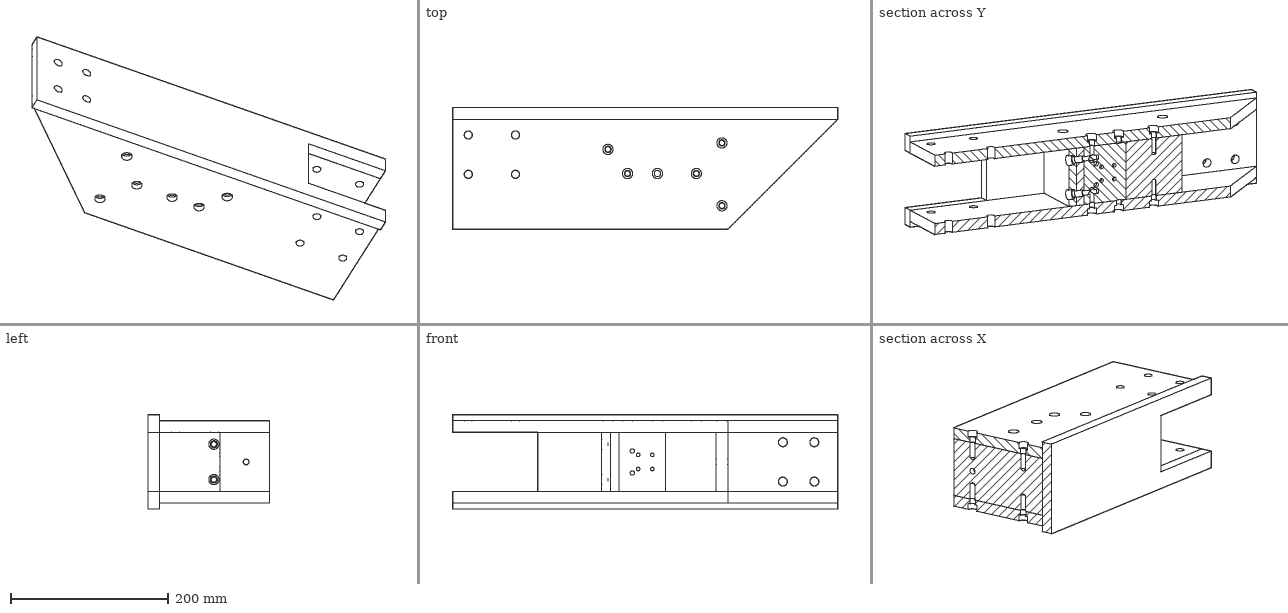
import cadquery as cq
import math

plate_thickness = 15.0
total_length = 490.0
side_depth = 140.0
inner_height = 75.0
back_height = 120.0

half_inner = inner_height / 2
side_front_length = total_length - side_depth
back_y = side_depth + plate_thickness

slot_length = 108.0
back_hole_diameter = 11.0
back_hole_xs = (420.0, 460.0)
back_hole_z = 25.0

mount_hole_diameter = 10.0
mount_hole_xs = (20.0, 80.0)
mount_hole_ys = (70.0, 120.0)

screw_head_diameter = 13.0
screw_head_depth = 8.0
side_clearance_diameter = 8.0
cross_clearance_diameter = 9.0
thread_diameter = 6.8
thread_depth = 20.0
drill_point_angle = 118.0

inner_front_y = 63.5
bar_back_y = inner_front_y + plate_thickness
bar_middle_y = (inner_front_y + bar_back_y) / 2
cross_plate_x = 189.5
spacer_x = 201.0
mount_bar_x = 211.5
stop_x = 271.0
end_plate_x = side_front_length - plate_thickness

end_plate_middle_x = end_plate_x + plate_thickness / 2
end_screw_margin = 30.0
stop_screw_setback = 25.0
cross_screw_points = [(197.5, (inner_front_y + side_depth) / 2)]
mount_bar_screw_points = [(222.5, bar_middle_y)]
spare_screw_points = [(260.5, bar_middle_y)]
end_screw_points = [
    (end_plate_x - stop_screw_setback, bar_middle_y),
    (end_plate_middle_x, end_screw_margin),
    (end_plate_middle_x, side_depth - end_screw_margin),
]
side_screw_points = (
    cross_screw_points + mount_bar_screw_points + spare_screw_points + end_screw_points
)

row_screw_z = 22.5
row_screw_points = [(bar_middle_y, -row_screw_z), (bar_middle_y, row_screw_z)]

pattern_center_x = 245.0
pattern_pitch = 18.0
pattern_hole_diameter = 4.5
locating_hole_x = 228.5
locating_hole_z = 14.0
locating_hole_diameter = 5.5
front_hole_depth = 10.0

end_hole_diameter = 7.0
end_hole_y = 30.0


def block(x_start, x_end, y_start, y_end, height):
    """Box centred on the mid-plane Z = 0."""
    return (
        cq.Workplane("XY", origin=(x_start, y_start, -height / 2))
        .box(x_end - x_start, y_end - y_start, height, centered=False)
    )


def holes_along_x(points, diameter, x_start, length):
    """Cylinders along +X at (y, z) points."""
    return (
        cq.Workplane("YZ", origin=(x_start, 0, 0))
        .pushPoints(points)
        .circle(diameter / 2)
        .extrude(length)
    )


def holes_along_y(points, diameter, y_start, length):
    """Cylinders along +Y at (x, z) points."""
    return (
        cq.Workplane("XZ", origin=(0, y_start, 0))
        .pushPoints(points)
        .circle(diameter / 2)
        .extrude(-length)
    )


def cut_side_threads(body, points):
    """Drill blind thread holes with conical ends into the top and bottom of a body."""
    radius = thread_diameter / 2
    cone_z = half_inner - thread_depth
    tip_z = cone_z - radius / math.tan(math.radians(drill_point_angle / 2))
    drill = (
        cq.Workplane("XZ")
        .polyline([(0, half_inner), (radius, half_inner), (radius, cone_z), (0, tip_z)])
        .close()
        .revolve(360, (0, 0, 0), (0, 1, 0))
    )
    for x, y in points:
        top_drill = drill.translate((x, y, 0))
        body = body.cut(top_drill).cut(top_drill.mirror("XY"))
    return body


def make_back_plate():
    plate = block(0, total_length, side_depth, back_y, back_height)
    slot = block(0, slot_length, side_depth, back_y, inner_height)
    hole_points = [(x, z) for x in back_hole_xs for z in (-back_hole_z, back_hole_z)]
    holes = holes_along_y(hole_points, back_hole_diameter, side_depth, plate_thickness)
    return plate.cut(slot).cut(holes)


def make_side_plate(top):
    outline = [(0, 0), (side_front_length, 0), (total_length, side_depth), (0, side_depth)]
    plate = (
        cq.Workplane("XY", origin=(0, 0, half_inner))
        .polyline(outline)
        .close()
        .extrude(plate_thickness)
    )
    outer_face = plate.faces(">Z").workplane(origin=(0, 0, 0))
    plate = outer_face.pushPoints(
        [(x, y) for x in mount_hole_xs for y in mount_hole_ys]
    ).hole(mount_hole_diameter)
    outer_face = plate.faces(">Z").workplane(origin=(0, 0, 0))
    plate = outer_face.pushPoints(side_screw_points).cboreHole(
        side_clearance_diameter, screw_head_diameter, screw_head_depth
    )
    return plate if top else plate.mirror("XY")


def make_cross_plate():
    plate = block(cross_plate_x, spacer_x, inner_front_y, side_depth, inner_height)
    thickness = spacer_x - cross_plate_x
    heads = holes_along_x(row_screw_points, screw_head_diameter, cross_plate_x, screw_head_depth)
    clearance = holes_along_x(row_screw_points, cross_clearance_diameter, cross_plate_x, thickness)
    return cut_side_threads(plate.cut(heads).cut(clearance), cross_screw_points)


def make_spacer():
    spacer = block(spacer_x, mount_bar_x, inner_front_y, bar_back_y, inner_height)
    width = mount_bar_x - spacer_x
    return spacer.cut(holes_along_x(row_screw_points, cross_clearance_diameter, spacer_x, width))


def make_mount_bar():
    bar = block(mount_bar_x, stop_x, inner_front_y, bar_back_y, inner_height)
    bar = bar.cut(holes_along_x(row_screw_points, thread_diameter, mount_bar_x, thread_depth))
    half_pitch = pattern_pitch / 2
    pattern_points = [
        (pattern_center_x + dx, dz)
        for dx in (-half_pitch, half_pitch)
        for dz in (-half_pitch, half_pitch)
    ]
    locating_points = [(locating_hole_x, z) for z in (-locating_hole_z, locating_hole_z)]
    bar = bar.cut(
        holes_along_y(pattern_points, pattern_hole_diameter, inner_front_y, front_hole_depth)
    )
    bar = bar.cut(
        holes_along_y(locating_points, locating_hole_diameter, inner_front_y, front_hole_depth)
    )
    return cut_side_threads(bar, mount_bar_screw_points)


def make_end_bracket():
    """End plate with the stop bar that reaches from it to the mounting bar."""
    end_plate = block(end_plate_x, side_front_length, 0, side_depth, inner_height)
    stop_bar = block(stop_x, end_plate_x, inner_front_y, bar_back_y, inner_height)
    hole = holes_along_x([(end_hole_y, 0)], end_hole_diameter, end_plate_x, plate_thickness)
    return cut_side_threads(end_plate.union(stop_bar).cut(hole), end_screw_points)


back_plate = make_back_plate()
side_plates = [make_side_plate(top) for top in (True, False)]
cross_plate = make_cross_plate()
spacer = make_spacer()
mount_bar = make_mount_bar()
end_bracket = make_end_bracket()

result = cq.Compound.makeCompound(
    [
        back_plate.val(),
        *[plate.val() for plate in side_plates],
        cross_plate.val(),
        spacer.val(),
        mount_bar.val(),
        end_bracket.val(),
    ]
)